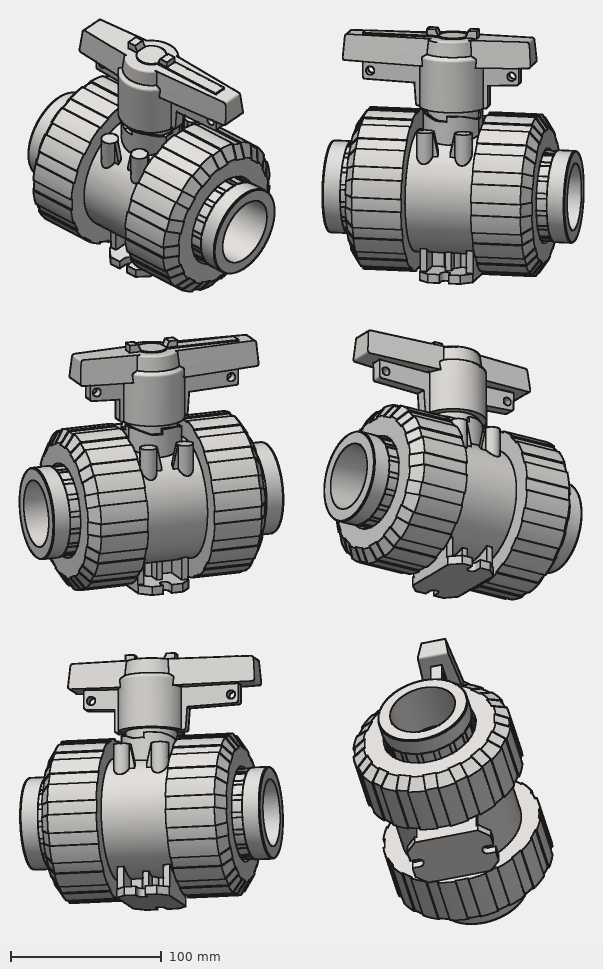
import cadquery as cq
import math

TOTAL_LENGTH = 165.0
BODY_RADIUS = 40.9
BODY_HALF_LENGTH = 48.4
FLOW_RADIUS = 19.2

NUT_RADIUS = 53.98
NUT_INNER_X = 23.78
NUT_OUTER_X = 63.4
NUT_LIP_X = 55.0
NUT_LIP_RADIUS = 31.7
NUT_CHAMFER_LENGTH = 6.0
NUT_CHAMFER_HEIGHT = 8.5
NUT_GROOVE_COUNT = 16
NUT_GROOVE_WIDTH = 8.7
NUT_GROOVE_DEPTH = 1.0

CONNECTOR_BORE_RADIUS = 22.4
CONNECTOR_FLANGE_RADIUS = 30.7
CONNECTOR_FLANGE_X = 70.3
CONNECTOR_CHAMFER_LENGTH = 0.8
CONNECTOR_CHAMFER_HEIGHT = 0.5
NECK_RADIUS = 30.2
NECK_GROOVE_COUNT = 16
NECK_GROOVE_WIDTH = 3.5
NECK_GROOVE_DEPTH = 0.5

COLLAR_RADIUS = 20.0
COLLAR_HALF_WIDTH = 18.9
COLLAR_LOW_Z = 51.2
COLLAR_TOP_Z = 54.7
RAMP_TOP_OFFSET = 17.0
RAMP_FOOT_OFFSET = 7.2
RAMP_COUNT = 4

PEG_X = 13.0
PEG_Y = 27.0
PEG_RADIUS = 5.7
PEG_TOP_Z = 45.5
GUSSET_FOOT_Z = 31.2
GUSSET_WIDTH = 3.2
SIDE_GUSSET_REACH = 8.8
INNER_GUSSET_REACH = 7.7
INNER_GUSSET_ANGLE = 19.0

FOOT_BOTTOM_Z = -56.5
FOOT_THICKNESS = 5.8
FOOT_LENGTH_X = 36.0
FOOT_LENGTH_Y = 57.0
FOOT_CORNER = 7.0
FOOT_SLOT_RADIUS = 3.2
FOOT_SLOT_CENTER_Y = 23.4
FOOT_END_WALL = 4.5
FOOT_MIDDLE_WALL = 4.0
FOOT_BOSS_RADIUS = 6.0
FOOT_END_WALL_LENGTH = 40.7
FOOT_MIDDLE_WALL_LENGTH = 29.0

STEM_RADIUS = 17.4
STEM_TOP_Z = 73.1

HUB_RADIUS = 22.2
HUB_BOTTOM_Z = 58.0
SHOULDER_Z = 93.8
SHOULDER_ROUND = 1.8
SHOULDER_TURN = 65.0
CAP_FOOT_Z = 95.0
CAP_FOOT_RADIUS = 19.4
CAP_RADIUS = 18.0
CAP_ROUND = 1.0
CAP_ROUND_WIDTH = 1.8
HANDLE_TOP_Z = 105.3
LEVER_BOTTOM_Z = 86.6
LEVER_END_RISE = 1.3
LEVER_TOP_ROUND = 2.0
LEVER_BOTTOM_ROUND = 1.7
LEVER_TOP_LEFT_X = -53.5
LEVER_TOP_RIGHT_X = 72.0
LEVER_TOP_LEFT_HALF = 8.0
LEVER_TOP_RIGHT_HALF = 7.3
LEVER_TOP_MIDDLE_HALF = 11.7
LEVER_BOTTOM_LEFT_X = -55.0
LEVER_BOTTOM_RIGHT_X = 73.5
LEVER_BOTTOM_LEFT_HALF = 10.5
LEVER_BOTTOM_RIGHT_HALF = 9.2
LEVER_BOTTOM_MIDDLE_HALF = 14.2
HUB_SLOT_WIDTH = 9.7
HUB_SLOT_TOP_Z = 88.0

INSERT_THICKNESS = 7.7
INSERT_LEFT_X = -45.5
INSERT_RIGHT_X = 60.5
INSERT_TAB_Z = 74.8
INSERT_TAB_ROOT_Z = 73.6
INSERT_LEG_LEFT_X = -24.4
INSERT_LEG_RIGHT_X = 25.5
INSERT_LEG_RIGHT_TIP_X = 24.4
INSERT_CORNER = 1.7
INSERT_HOLE_RADIUS = 2.8
INSERT_LEFT_HOLE_X = -40.5
INSERT_RIGHT_HOLE_X = 55.5
INSERT_HOLE_Z = 80.5
INSERT_CAP_Z = 106.1
INSERT_DISC_RADIUS = 10.0
INSERT_STRIP_WIDTH = 8.7
LUG_OUTER_X = 17.0
LUG_TIP_X = 11.2
LUG_FOOT_X = 9.2
LUG_TOP_Z = 110.3


def box(x0, x1, y0, y1, z0, z1):
    block = cq.Workplane("XY").box(x1 - x0, y1 - y0, z1 - z0, centered=False)
    return block.translate((x0, y0, z0))


def upright(radius, z0, z1, x=0.0, y=0.0):
    return cq.Workplane("XY", origin=(x, y, z0)).circle(radius).extrude(z1 - z0)


def along_flow(radius, x0, x1):
    return cq.Workplane("YZ", origin=(x0, 0, 0)).circle(radius).extrude(x1 - x0)


def side_plate(points, thickness):
    """Extrude an (x, z) outline equally to both sides of the XZ plane."""
    return cq.Workplane("XZ").polyline(points).close().extrude(thickness / 2, both=True)


def turned_on_flow(points):
    """Revolve an (x, radius) outline about the flow axis."""
    return cq.Workplane("XY").polyline(points).close().revolve(360, (0, 0, 0), (1, 0, 0))


def stop_collar():
    """Sleeve round the stem whose rim has a stop, a low flat and a ramp in every quarter."""
    collar = upright(COLLAR_RADIUS, 0, COLLAR_TOP_Z)
    collar = collar.intersect(
        box(-COLLAR_HALF_WIDTH, COLLAR_HALF_WIDTH, -COLLAR_RADIUS, COLLAR_RADIUS, 0, COLLAR_TOP_Z)
    )
    low_part = [
        (0, COLLAR_TOP_Z),
        (0, COLLAR_LOW_Z),
        (-RAMP_FOOT_OFFSET, COLLAR_LOW_Z),
        (-RAMP_TOP_OFFSET, COLLAR_TOP_Z),
    ]
    cutter = cq.Workplane("XZ").polyline(low_part).close().extrude(COLLAR_RADIUS)
    for quarter in range(RAMP_COUNT):
        turn = quarter * 360 / RAMP_COUNT
        collar = collar.cut(cutter.rotate((0, 0, 0), (0, 0, 1), turn))
    return collar


def gusset(reach, angle):
    """Tapered rib leaving a peg on the Z axis, turned by an angle from +X."""
    outline = [
        (0, 0),
        (reach, 0),
        (reach, GUSSET_FOOT_Z),
        (PEG_RADIUS, PEG_TOP_Z),
        (0, PEG_TOP_Z),
    ]
    return side_plate(outline, GUSSET_WIDTH).rotate((0, 0, 0), (0, 0, 1), angle)


def mounting_peg():
    """Peg at the +X, +Y position with one rib toward X = 0 and one toward the collar."""
    peg = upright(PEG_RADIUS, 0, PEG_TOP_Z)
    peg = peg.union(gusset(SIDE_GUSSET_REACH, 180))
    peg = peg.union(gusset(INNER_GUSSET_REACH, -90 + INNER_GUSSET_ANGLE))
    return peg.translate((PEG_X, PEG_Y, 0))


def mounting_foot():
    """Chamfered slotted plate under the barrel, carried by an H of walls and a round boss."""
    half_x = FOOT_LENGTH_X / 2
    half_y = FOOT_LENGTH_Y / 2
    plate_top = FOOT_BOTTOM_Z + FOOT_THICKNESS
    foot = box(-half_x, half_x, -half_y, half_y, FOOT_BOTTOM_Z, plate_top)
    foot = foot.edges("|Z").chamfer(FOOT_CORNER)
    for side in (-1, 1):
        slot_y = side * FOOT_SLOT_CENTER_Y
        foot = foot.cut(upright(FOOT_SLOT_RADIUS, FOOT_BOTTOM_Z, plate_top, 0, slot_y))
        y0, y1 = sorted((slot_y, side * half_y))
        foot = foot.cut(
            box(-FOOT_SLOT_RADIUS, FOOT_SLOT_RADIUS, y0, y1, FOOT_BOTTOM_Z, plate_top)
        )
    foot = foot.union(upright(FOOT_BOSS_RADIUS, plate_top, 0))
    half_wall = FOOT_MIDDLE_WALL / 2
    half_run = FOOT_MIDDLE_WALL_LENGTH / 2
    foot = foot.union(box(-half_wall, half_wall, -half_run, half_run, plate_top, 0))
    foot = foot.union(box(-half_x, half_x, -half_wall, half_wall, plate_top, 0))
    half_end = FOOT_END_WALL_LENGTH / 2
    for x0 in (-half_x, half_x - FOOT_END_WALL):
        foot = foot.union(box(x0, x0 + FOOT_END_WALL, -half_end, half_end, plate_top, 0))
    return foot


def make_housing():
    housing = along_flow(BODY_RADIUS, -BODY_HALF_LENGTH, BODY_HALF_LENGTH)
    housing = housing.union(stop_collar()).union(mounting_foot())
    peg = mounting_peg()
    peg_pair = peg.union(peg.mirror("YZ"))
    housing = housing.union(peg_pair).union(peg_pair.mirror("XZ"))
    housing = housing.cut(upright(STEM_RADIUS, BODY_RADIUS, COLLAR_TOP_Z))
    return housing.cut(along_flow(FLOW_RADIUS, -BODY_HALF_LENGTH, BODY_HALF_LENGTH))


def nut_outline(radius):
    return [
        (NUT_INNER_X, 0),
        (NUT_INNER_X, radius),
        (NUT_OUTER_X - NUT_CHAMFER_LENGTH, radius),
        (NUT_OUTER_X, radius - NUT_CHAMFER_HEIGHT),
        (NUT_OUTER_X, 0),
    ]


def make_nut():
    """Nut on the +X side; each band across the nut leaves two opposite grip grooves."""
    ridges = turned_on_flow(nut_outline(NUT_RADIUS))
    half_groove = NUT_GROOVE_WIDTH / 2
    band = box(NUT_INNER_X, NUT_OUTER_X, -NUT_RADIUS, NUT_RADIUS, -half_groove, half_groove)
    for index in range(NUT_GROOVE_COUNT // 2):
        turn = index * 360 / NUT_GROOVE_COUNT
        ridges = ridges.cut(band.rotate((0, 0, 0), (1, 0, 0), turn))
    nut = turned_on_flow(nut_outline(NUT_RADIUS - NUT_GROOVE_DEPTH)).union(ridges)
    nut = nut.cut(along_flow(BODY_RADIUS, NUT_INNER_X, NUT_LIP_X))
    return nut.cut(along_flow(NUT_LIP_RADIUS, NUT_LIP_X, NUT_OUTER_X))


def make_connector():
    """Flanged tube on the +X side, held against the housing by a collar behind the nut lip."""
    end_x = TOTAL_LENGTH / 2
    outline = [
        (BODY_HALF_LENGTH, CONNECTOR_BORE_RADIUS),
        (BODY_HALF_LENGTH, BODY_RADIUS),
        (NUT_LIP_X, BODY_RADIUS),
        (NUT_LIP_X, NECK_RADIUS),
        (CONNECTOR_FLANGE_X, NECK_RADIUS),
        (CONNECTOR_FLANGE_X, CONNECTOR_FLANGE_RADIUS),
        (end_x - CONNECTOR_CHAMFER_LENGTH, CONNECTOR_FLANGE_RADIUS),
        (end_x, CONNECTOR_FLANGE_RADIUS - CONNECTOR_CHAMFER_HEIGHT),
        (end_x, CONNECTOR_BORE_RADIUS),
    ]
    connector = turned_on_flow(outline)
    half_groove = NECK_GROOVE_WIDTH / 2
    groove = box(
        NUT_LIP_X, CONNECTOR_FLANGE_X,
        NECK_RADIUS - NECK_GROOVE_DEPTH, NECK_RADIUS + NECK_GROOVE_DEPTH,
        -half_groove, half_groove,
    )
    for index in range(NECK_GROOVE_COUNT):
        turn = (index + 0.5) * 360 / NECK_GROOVE_COUNT
        connector = connector.cut(groove.rotate((0, 0, 0), (1, 0, 0), turn))
    return connector


def make_stem():
    return upright(STEM_RADIUS, BODY_RADIUS, STEM_TOP_Z)


def handle_hub():
    """Round hub with a rounded shoulder below a tapered cap."""
    round_center_radius = HUB_RADIUS - SHOULDER_ROUND
    round_center_z = SHOULDER_Z - SHOULDER_ROUND
    shoulder_mid, shoulder_end = (
        (
            round_center_radius + SHOULDER_ROUND * math.cos(turn),
            round_center_z + SHOULDER_ROUND * math.sin(turn),
        )
        for turn in (math.radians(SHOULDER_TURN / 2), math.radians(SHOULDER_TURN))
    )
    cap_side_top = HANDLE_TOP_Z - CAP_ROUND
    bulge = math.sqrt(0.5)
    cap_mid = (
        CAP_RADIUS - CAP_ROUND_WIDTH * (1 - bulge),
        cap_side_top + CAP_ROUND * bulge,
    )
    outline = (
        cq.Workplane("XZ")
        .moveTo(0, HUB_BOTTOM_Z)
        .lineTo(HUB_RADIUS, HUB_BOTTOM_Z)
        .lineTo(HUB_RADIUS, round_center_z)
        .threePointArc(shoulder_mid, shoulder_end)
        .lineTo(CAP_FOOT_RADIUS, CAP_FOOT_Z)
        .lineTo(CAP_RADIUS, cap_side_top)
        .threePointArc(cap_mid, (CAP_RADIUS - CAP_ROUND_WIDTH, HANDLE_TOP_Z))
        .lineTo(0, HANDLE_TOP_Z)
        .close()
    )
    return outline.revolve(360, (0, 0, 0), (0, 1, 0))


def lever_section(left_x, right_x, left_half, middle_half, right_half):
    return [
        (left_x, -left_half),
        (0, -middle_half),
        (right_x, -right_half),
        (right_x, right_half),
        (0, middle_half),
        (left_x, left_half),
    ]


def lever():
    """Two-armed grip that narrows toward its top and its ends."""
    bottom = lever_section(
        LEVER_BOTTOM_LEFT_X, LEVER_BOTTOM_RIGHT_X,
        LEVER_BOTTOM_LEFT_HALF, LEVER_BOTTOM_MIDDLE_HALF, LEVER_BOTTOM_RIGHT_HALF,
    )
    top = lever_section(
        LEVER_TOP_LEFT_X, LEVER_TOP_RIGHT_X,
        LEVER_TOP_LEFT_HALF, LEVER_TOP_MIDDLE_HALF, LEVER_TOP_RIGHT_HALF,
    )
    grip = (
        cq.Workplane("XY", origin=(0, 0, LEVER_BOTTOM_Z))
        .polyline(bottom).close()
        .workplane(offset=HANDLE_TOP_Z - LEVER_BOTTOM_Z)
        .polyline(top).close()
        .loft(ruled=True)
    )
    end_z = LEVER_BOTTOM_Z + LEVER_END_RISE
    underside = [
        (LEVER_BOTTOM_LEFT_X, LEVER_BOTTOM_Z),
        (LEVER_BOTTOM_LEFT_X, end_z),
        (0, LEVER_BOTTOM_Z),
        (LEVER_BOTTOM_RIGHT_X, end_z),
        (LEVER_BOTTOM_RIGHT_X, LEVER_BOTTOM_Z),
    ]
    grip = grip.cut(side_plate(underside, 2 * LEVER_BOTTOM_MIDDLE_HALF))
    for end_x, edge_z, radius in (
        (LEVER_TOP_LEFT_X, HANDLE_TOP_Z, LEVER_TOP_ROUND),
        (LEVER_TOP_RIGHT_X, HANDLE_TOP_Z, LEVER_TOP_ROUND),
        (LEVER_BOTTOM_LEFT_X, end_z, LEVER_BOTTOM_ROUND),
        (LEVER_BOTTOM_RIGHT_X, end_z, LEVER_BOTTOM_ROUND),
    ):
        end_edge = grip.edges(cq.selectors.NearestToPointSelector((end_x, 0, edge_z)))
        grip = end_edge.fillet(radius)
    return grip


def make_handle(insert):
    handle = handle_hub().union(lever())
    handle = handle.cut(upright(STEM_RADIUS, HUB_BOTTOM_Z, STEM_TOP_Z))
    half_slot = HUB_SLOT_WIDTH / 2
    slot = box(-HUB_RADIUS, HUB_RADIUS, -half_slot, half_slot, HUB_BOTTOM_Z, HUB_SLOT_TOP_Z)
    return handle.cut(slot).cut(insert).clean()


def insert_plate():
    """Flat plate with two drilled tabs and two legs that straddle the stem."""
    outline = [
        (INSERT_LEFT_X, HUB_SLOT_TOP_Z),
        (INSERT_LEFT_X, INSERT_TAB_Z),
        (INSERT_LEG_LEFT_X, INSERT_TAB_ROOT_Z),
        (INSERT_LEG_LEFT_X, HUB_BOTTOM_Z),
        (INSERT_LEG_RIGHT_TIP_X, HUB_BOTTOM_Z),
        (INSERT_LEG_RIGHT_X, INSERT_TAB_ROOT_Z),
        (INSERT_RIGHT_X, INSERT_TAB_Z),
        (INSERT_RIGHT_X, HANDLE_TOP_Z),
        (-LUG_OUTER_X, HANDLE_TOP_Z),
        (-LUG_OUTER_X, HUB_SLOT_TOP_Z),
    ]
    plate = side_plate(outline, INSERT_THICKNESS)
    for x, z in (
        (INSERT_LEFT_X, INSERT_TAB_Z),
        (INSERT_RIGHT_X, INSERT_TAB_Z),
        (INSERT_LEG_LEFT_X, HUB_BOTTOM_Z),
        (INSERT_LEG_RIGHT_TIP_X, HUB_BOTTOM_Z),
    ):
        corner = plate.edges(cq.selectors.NearestToPointSelector((x, 0, z)))
        plate = corner.fillet(INSERT_CORNER)
    for x in (INSERT_LEFT_HOLE_X, INSERT_RIGHT_HOLE_X):
        hole = cq.Workplane("XZ").center(x, INSERT_HOLE_Z).circle(INSERT_HOLE_RADIUS)
        plate = plate.cut(hole.extrude(INSERT_THICKNESS, both=True))
    return plate


def insert_cap():
    """Thin disc and strip, in one keyhole outline, lying on the handle top."""
    half_strip = INSERT_STRIP_WIDTH / 2
    strip_root_x = math.sqrt(INSERT_DISC_RADIUS**2 - half_strip**2)
    outline = (
        cq.Workplane("XY", origin=(0, 0, HANDLE_TOP_Z))
        .moveTo(INSERT_RIGHT_X, -half_strip)
        .lineTo(INSERT_RIGHT_X, half_strip)
        .lineTo(strip_root_x, half_strip)
        .threePointArc((-INSERT_DISC_RADIUS, 0), (strip_root_x, -half_strip))
        .close()
    )
    return outline.extrude(INSERT_CAP_Z - HANDLE_TOP_Z)


def insert_lug():
    outline = [
        (LUG_FOOT_X, HANDLE_TOP_Z),
        (LUG_FOOT_X, INSERT_CAP_Z),
        (LUG_TIP_X, LUG_TOP_Z),
        (LUG_OUTER_X, LUG_TOP_Z),
        (LUG_OUTER_X, HANDLE_TOP_Z),
    ]
    return side_plate(outline, INSERT_THICKNESS)


def make_insert(stem):
    lug = insert_lug()
    insert = insert_plate().union(insert_cap()).union(lug).union(lug.mirror("YZ"))
    return insert.cut(stem).clean()


housing = make_housing()
nut = make_nut()
connector = make_connector()
stem = make_stem()
insert = make_insert(stem)
handle = make_handle(insert)

nuts = [nut, nut.mirror("YZ")]
connectors = [connector, connector.mirror("YZ")]

result = cq.Compound.makeCompound([
    housing.solids().val(),
    *[part.solids().val() for part in nuts],
    *[part.solids().val() for part in connectors],
    stem.solids().val(),
    handle.solids().val(),
    insert.solids().val(),
])